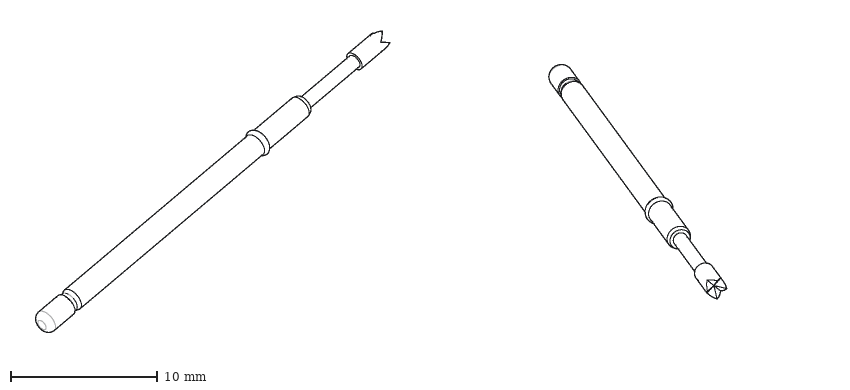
import cadquery as cq
import math


total_length = 35.7
contact_tip = total_length / 2
tail_end = -total_length / 2
head_length = 2.93
barrel_start = contact_tip - 8.32
ring_center = contact_tip - 13.05

head_radius = 0.695
plunger_radius = 0.5
barrel_radius = 0.84
ring_radius = 1.0

mouth_chamfer_length = 0.32
mouth_chamfer_depth = 0.1
ring_round_radius = 0.3
tail_round_radius = 0.45
groove_radius = 0.732
groove_start = tail_end + 2.5
groove_flat_length = 0.35
groove_slope_length = 0.32

tooth_depth = 0.7


def cylinder(radius, start, end):
    """Solid cylinder on the Y axis between two stations."""
    return cq.Workplane("XZ", origin=(0, end, 0)).circle(radius).extrude(end - start)


def barrel():
    """Revolved barrel with coned mouth, press ring, groove and rounded tail."""
    groove_end = groove_start + groove_flat_length
    tail_arc_center = (barrel_radius - tail_round_radius, tail_end + tail_round_radius)
    arc_offset = tail_round_radius * math.sqrt(0.5)
    ring_arc_center = ring_radius - ring_round_radius
    ring_half_width = math.sqrt(ring_round_radius**2 - (barrel_radius - ring_arc_center) ** 2)
    profile = (
        cq.Workplane("XY")
        .moveTo(0, tail_end)
        .lineTo(tail_arc_center[0], tail_end)
        .threePointArc(
            (tail_arc_center[0] + arc_offset, tail_arc_center[1] - arc_offset),
            (barrel_radius, tail_arc_center[1]),
        )
        .lineTo(barrel_radius, groove_start)
        .lineTo(groove_radius, groove_start)
        .lineTo(groove_radius, groove_end)
        .lineTo(barrel_radius, groove_end + groove_slope_length)
        .lineTo(barrel_radius, ring_center - ring_half_width)
        .threePointArc((ring_radius, ring_center), (barrel_radius, ring_center + ring_half_width))
        .lineTo(barrel_radius, barrel_start - mouth_chamfer_length)
        .lineTo(barrel_radius - mouth_chamfer_depth, barrel_start)
        .lineTo(0, barrel_start)
        .close()
    )
    return profile.revolve(360, (0, 0, 0), (0, 1, 0))


def crown_notch(angle):
    """V-groove across the head; its flanks reach the tip plane at the tooth points."""
    half_width = head_radius * math.sin(math.radians(45))
    return (
        cq.Workplane("XY")
        .moveTo(0, contact_tip - tooth_depth)
        .lineTo(half_width, contact_tip)
        .lineTo(-half_width, contact_tip)
        .close()
        .extrude(2 * head_radius, both=True)
        .rotate((0, 0, 0), (0, 1, 0), angle)
    )


def head():
    """Contact head with a four-point crown, points on the X and Z directions."""
    body = cylinder(head_radius, contact_tip - head_length, contact_tip)
    for angle in (45, -45):
        body = body.cut(crown_notch(angle))
    return body


plunger = cylinder(plunger_radius, barrel_start, contact_tip - head_length)
result = barrel().union(plunger).union(head())